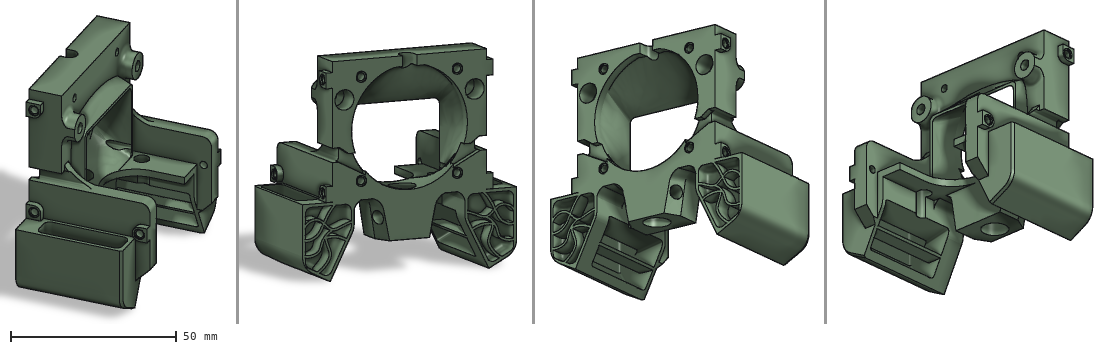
import cadquery as cq
import math

height = 67.75
length = 40.0
half_width = 35.8
frame_half = 25.8
frame_depth = 10.9
duct_depth = 15.2
wall = 1.0
cut_margin = 7.15

rail_top = 36.6
rail_inner = 20.8
rail_corner = 3.0
rail_chamfer = 4.8
rail_chamfer_top = 14.2
plate_top = 26.8
plate_bottom = 24.6
plate_length = 35.3
slot_radius = 11.3
slot_center_x = 24.1
plate_hole = 4.8
plate_hole_x = 18.55
plate_hole_y = 17.2

fan_center_z = 46.25
duct_center_z = 45.7
duct_radius = 19.3
duct_ceiling = 64.4
lip_depth = 3.0
window_half = 17.0
window_top = 50.85
window_corner = 1.8

fan_screw_offset = 16.05
screw_hole = 2.4
screw_sink = 3.4
sink_depth = 0.5
boss_y = 21.8
boss_z = 55.65
boss_diameter = 8.5
boss_fillet = 2.0
mount_hole = 3.4
mount_counterbore = 6.3
mount_counterbore_depth = 7.15
mount_cone_depth = 2.0
top_groove = 4.8
top_groove_x = 2.3

notch_top = 41.0
notch_floor_y = 22.8
notch_radius = 1.0
channel_depth = 2.2
gusset_end = 19.7
gusset_top = 43.0

tab_out = 27.9
tab_size = 4.9
tab_hole_inset = 2.6
tab_hole_depth = 6.45
upper_tab_z = 61.95
lower_tab_z = 26.9

pod_top = 24.4
pod_inner = 18.5
pod_tip_y = 26.5
pod_tilt = math.tan(math.radians(27))
pod_corner = 6.0
pod_rear_fillet = 1.0
pocket_depth = 5.0
pocket_fillet = 2.0
rib_width = 0.85
cavity_front = 6.3
cavity_rear = 33.95
cavity_fillet = 1.0
cavity_outer = 34.5
cavity_inner = 27.0
outlet_bottom = 2.6
outlet_top = 17.55
neck_bottom = 15.75
vane_z = 9.0
vane_thickness = 0.85

tongue_bottom = 11.0
tongue_length = 12.9
arch_spring = 20.05
tongue_spring = 21.1
facet_depth = 5.0
front_foot_y = 6.65
front_spring_y = 8.75
rear_foot_y = 9.25
rear_spring_y = 10.9
nozzle_bore = 8.5
nozzle_x = 5.5
side_bore = 4.3
side_bore_x = 2.8
side_bore_y = 9.1
side_bore_z = 18.05


def box(x0, x1, y0, y1, z0, z1):
    return cq.Workplane("XY").box(x1 - x0, y1 - y0, z1 - z0, centered=False).translate((x0, y0, z0))


def x_cylinder(diameter, y, z, x0, x1):
    return cq.Workplane("YZ", origin=(x0, y, z)).circle(diameter / 2).extrude(x1 - x0)


def z_cylinder(diameter, x, y, z0, z1):
    return cq.Workplane("XY", origin=(x, y, z0)).circle(diameter / 2).extrude(z1 - z0)


def both_sides(shape):
    return shape.union(shape.mirror("XZ"))


def pod_section():
    """Pod outline in the YZ plane, before its corners are rounded."""
    outer_foot_z = (half_width - pod_tip_y) * pod_tilt
    inner_foot_z = (pod_tip_y - pod_inner) / pod_tilt
    return (
        cq.Workplane("YZ")
        .moveTo(half_width, pod_top)
        .lineTo(half_width, outer_foot_z)
        .lineTo(pod_tip_y, 0)
        .lineTo(pod_inner, inner_foot_z)
        .lineTo(pod_inner, pod_top)
        .close()
    )


def round_pod(pod):
    x_mid = length / 2
    outer_foot = (x_mid, half_width, (half_width - pod_tip_y) * pod_tilt)
    inner_foot = (x_mid, pod_inner, (pod_tip_y - pod_inner) / pod_tilt)
    for corner in (outer_foot, inner_foot):
        pod = pod.edges(cq.selectors.NearestToPointSelector(corner)).fillet(pod_corner)
    return pod


def pod_ribs():
    """Curved ribs that brace the front pocket, as (y, z) curves."""
    curves = [
        [(35.1, 17.2), (32.8, 19.2), (30.5, 19.3), (28.4, 18.0), (25.9, 16.05), (22.5, 16.75), (19.0, 17.9)],
        [(24.7, 23.8), (27.15, 20.8), (28.7, 17.75), (30.15, 15.2), (32.2, 13.6), (35.1, 13.25)],
        [(35.1, 8.4), (31.9, 8.5), (30.15, 9.6), (29.1, 12.4), (28.35, 13.6), (25.65, 15.9)],
        [(27.9, 13.6), (24.9, 13.75), (20.4, 12.0)],
        [(27.85, 13.95), (27.35, 11.3), (26.5, 8.15), (27.35, 6.1), (30.65, 3.0)],
    ]
    ribs = None
    for curve in curves:
        path = cq.Workplane("YZ").spline(curve)
        along_y = curve[1][0] - curve[0][0]
        along_z = curve[1][1] - curve[0][1]
        start = cq.Plane(origin=(0, *curve[0]), xDir=(1, 0, 0), normal=(0, along_y, along_z))
        rib = cq.Workplane(start).center(pocket_depth / 2, 0).rect(pocket_depth, rib_width).sweep(path)
        ribs = rib if ribs is None else ribs.union(rib)
    return ribs


def pod_pocket():
    pocket = pod_section().offset2D(-wall).extrude(pocket_depth)
    pocket = pocket.edges("|X").fillet(pocket_fillet)
    pocket = pocket.faces(">X").edges().fillet(pocket_fillet - 0.1)
    return pocket.cut(pod_ribs())


def pod_cavity():
    """Air passage from the top opening down to the outlet in the slanted inner wall."""
    outlet_lower_y = pod_tip_y - outlet_bottom * pod_tilt
    outlet_vertices = [
        (cavity_outer, neck_bottom),
        (cavity_outer, 10),
        (32.3, 6.1),
        (outlet_lower_y, outlet_bottom),
        (outlet_lower_y - 2 * wall, outlet_bottom),
        (pod_inner - wall, 15.05),
        (pod_inner - wall, outlet_top),
        (cavity_inner, neck_bottom),
    ]
    passage = cq.Workplane("YZ", origin=(cavity_front, 0, 0)).polyline(outlet_vertices).close()
    passage = passage.extrude(cavity_rear - cavity_front)
    passage = passage.faces("<X or >X").edges().fillet(cavity_fillet)
    neck = box(cavity_front, cavity_rear, cavity_inner, cavity_outer, 10, pod_top)
    neck = neck.edges("|Z").fillet(pocket_fillet)
    vane = box(0, length, 0, half_width, vane_z - vane_thickness / 2, vane_z + vane_thickness / 2)
    vane = vane.intersect(box(0, length, 0, cavity_inner, 0, height))
    return passage.cut(vane).union(neck)


def pod():
    body = round_pod(pod_section().extrude(plate_length))
    rear_edge = (plate_length, half_width, pod_top / 2)
    return body.edges(cq.selectors.NearestToPointSelector(rear_edge)).chamfer(pod_rear_fillet, 0.5)


def rail():
    outline = (
        cq.Workplane("XZ")
        .moveTo(0, rail_chamfer_top - rail_chamfer)
        .lineTo(0, rail_top)
        .lineTo(length - rail_corner, rail_top)
        .radiusArc((length, rail_top - rail_corner), rail_corner)
        .lineTo(length, rail_chamfer_top)
        .lineTo(length - rail_chamfer, rail_chamfer_top - rail_chamfer)
        .lineTo(0, rail_chamfer_top - rail_chamfer)
        .close()
        .extrude(-frame_half)
    )
    lower = round_pod(pod_section().extrude(length))
    upper = box(0, length, 0, half_width, pod_top, height)
    return outline.intersect(box(0, length, rail_inner, frame_half, 0, height)).intersect(lower.union(upper))


def tab(x_end, z, round_x, round_z):
    """Side tab with one or more edges rounded, reaching from the rail to tab_out."""
    size = tab_size
    block = box(x_end, x_end + size, rail_inner, tab_out, z - size / 2, z + size / 2)
    for edge_x, edge_z in zip(round_x, round_z):
        corner = (edge_x, (rail_inner + tab_out) / 2, z + edge_z * size / 2)
        block = block.edges(cq.selectors.NearestToPointSelector(corner)).fillet(size / 2 - 0.035)
    return block


def side_screw(x, z, depth):
    at_tab = cq.Workplane("XZ", origin=(x, tab_out, z))
    sink = at_tab.circle(screw_sink / 2).extrude(sink_depth)
    return at_tab.circle(screw_hole / 2).extrude(depth).union(sink)


def duct_loft(growth):
    """Loft from the round fan side to the window; growth offsets the surface outward."""
    middle_z = (window_top + plate_top) / 2
    circle = cq.Sketch().circle(duct_radius + growth)
    window = cq.Sketch().rect(2 * (window_half + growth), window_top - plate_top + 2 * growth)
    window = window.vertices().fillet(window_corner)
    lowered = window.moved(cq.Location(cq.Vector(0, middle_z - duct_center_z, duct_depth - lip_depth)))
    start = cq.Workplane("YZ", origin=(lip_depth, 0, duct_center_z))
    return start.placeSketch(circle, lowered).loft()


def duct_void():
    lip = x_cylinder(2 * duct_radius, 0, duct_center_z, 0, lip_depth)
    limits = box(0, duct_depth, -half_width, half_width, plate_top, duct_ceiling)
    return duct_loft(0).union(lip).intersect(limits)


def duct_shell():
    limits = box(frame_depth, duct_depth, -rail_inner, rail_inner, plate_bottom, height)
    return duct_loft(wall).intersect(limits)


def gusset():
    """Curved web that runs from the frame down to the rail behind each notch."""
    outline = (
        cq.Workplane("XZ", origin=(0, notch_floor_y + notch_radius, 0))
        .moveTo(frame_depth, plate_top)
        .lineTo(frame_depth, gusset_top)
        .threePointArc((14.55, 38.95), (gusset_end, rail_top))
        .lineTo(gusset_end, plate_top)
        .close()
    )
    return outline.extrude(notch_floor_y + notch_radius - rail_inner)


def boss():
    radius = boss_diameter / 2
    flare = (
        cq.Workplane("XY")
        .moveTo(frame_depth, 0)
        .lineTo(frame_depth, radius + boss_fillet)
        .radiusArc((frame_depth + boss_fillet, radius), -boss_fillet)
        .lineTo(duct_depth, radius)
        .lineTo(duct_depth, 0)
        .close()
        .revolve(360, (0, 0, 0), (1, 0, 0))
        .translate((0, boss_y, boss_z))
    )
    return flare.intersect(box(0, length, 0, frame_half, 0, height))


def notch():
    cut = box(-cut_margin, length, notch_floor_y, half_width, rail_top, notch_top)
    cut = cut.edges("|X and <Y").fillet(notch_radius)
    channel = [
        (frame_half, rail_top),
        (23.6, rail_top),
        (14.7, 32.0),
        (14.7, 39.0),
        (20.4, 39.0),
        (23.3, notch_top),
        (frame_half, notch_top),
    ]
    return cut.union(cq.Workplane("YZ").polyline(channel).close().extrude(channel_depth))


def arch_wire(workplane, foot_y, spring_y):
    middle_y = (pod_inner + spring_y) / 2
    return (
        workplane.moveTo(pod_inner, tongue_bottom - cut_margin)
        .lineTo(pod_inner, arch_spring)
        .threePointArc((middle_y, plate_bottom), (spring_y, tongue_spring))
        .lineTo(foot_y, tongue_bottom)
        .lineTo(foot_y, tongue_bottom - cut_margin)
        .close()
    )


def tongue():
    block = box(0, tongue_length, -pod_inner, pod_inner, tongue_bottom, plate_top)
    front = arch_wire(cq.Workplane("YZ"), front_foot_y, front_spring_y)
    flared = arch_wire(front.workplane(offset=facet_depth), rear_foot_y, rear_spring_y).loft(ruled=True)
    straight = arch_wire(cq.Workplane("YZ"), rear_foot_y, rear_spring_y).extrude(length)
    return block.cut(both_sides(flared)).cut(both_sides(straight))


def side_bore_cut():
    run = facet_depth
    rise = rear_foot_y - front_foot_y
    axis = cq.Plane(origin=(side_bore_x, side_bore_y, side_bore_z), xDir=(0, 0, 1), normal=(rise, -run, 0))
    drill = cq.Workplane(axis).workplane(offset=-facet_depth / 2).circle(side_bore / 2)
    return drill.extrude(facet_depth / 2 + side_bore_y - nozzle_bore / 4)


def hotend_slot():
    slot_top = plate_top + wall
    slot = z_cylinder(2 * slot_radius, slot_center_x, 0, 0, slot_top)
    return slot.union(box(slot_center_x, length, -slot_radius, slot_radius, 0, slot_top))


def mount_counterbore_cut():
    """Counterbore with a conical floor that narrows to the mounting hole."""
    return (
        cq.Workplane("XY")
        .lineTo(0, mount_counterbore / 2)
        .lineTo(mount_counterbore_depth, mount_counterbore / 2)
        .lineTo(mount_counterbore_depth + mount_cone_depth, mount_hole / 2)
        .lineTo(mount_counterbore_depth + mount_cone_depth, 0)
        .close()
        .revolve(360, (0, 0, 0), (1, 0, 0))
        .translate((0, boss_y, boss_z))
    )


body = box(0, frame_depth, -frame_half, frame_half, plate_bottom, height)
body = body.union(box(0, plate_length, -frame_half, frame_half, pod_top, plate_top))
body = body.union(tongue()).union(duct_shell())
body = body.union(both_sides(rail().union(pod()).union(gusset()).union(boss())))
front_tab_x = 0
rear_tab_x = length - tab_size
tabs = tab(front_tab_x, upper_tab_z, [tab_size], [-1])
tabs = tabs.union(tab(front_tab_x, lower_tab_z, [tab_size], [1]))
tabs = tabs.union(tab(rear_tab_x, lower_tab_z, [rear_tab_x, rear_tab_x], [1, -1]))
body = body.union(both_sides(tabs))

body = body.cut(duct_void()).cut(hotend_slot())
body = body.cut(z_cylinder(nozzle_bore, nozzle_x, 0, 0, fan_center_z))
groove = z_cylinder(top_groove, top_groove_x, 0, fan_center_z, height)
groove = groove.union(box(0, top_groove_x, -top_groove / 2, top_groove / 2, fan_center_z, height))
body = body.cut(groove)

side_cuts = notch().union(pod_pocket()).union(pod_cavity()).union(side_bore_cut())
side_cuts = side_cuts.union(z_cylinder(plate_hole, plate_hole_x, plate_hole_y, 0, rail_top))
for z in (fan_center_z - fan_screw_offset, fan_center_z + fan_screw_offset):
    side_cuts = side_cuts.union(x_cylinder(screw_hole, fan_screw_offset, z, 0, duct_depth))
    side_cuts = side_cuts.union(x_cylinder(screw_sink, fan_screw_offset, z, 0, sink_depth))
side_cuts = side_cuts.union(x_cylinder(mount_hole, boss_y, boss_z, 0, duct_depth))
side_cuts = side_cuts.union(mount_counterbore_cut())
for z in (lower_tab_z, upper_tab_z):
    side_cuts = side_cuts.union(side_screw(tab_hole_inset, z, tab_hole_depth))
side_cuts = side_cuts.union(side_screw(length - tab_hole_inset, lower_tab_z, tab_out - rail_inner))

result = body.cut(both_sides(side_cuts))